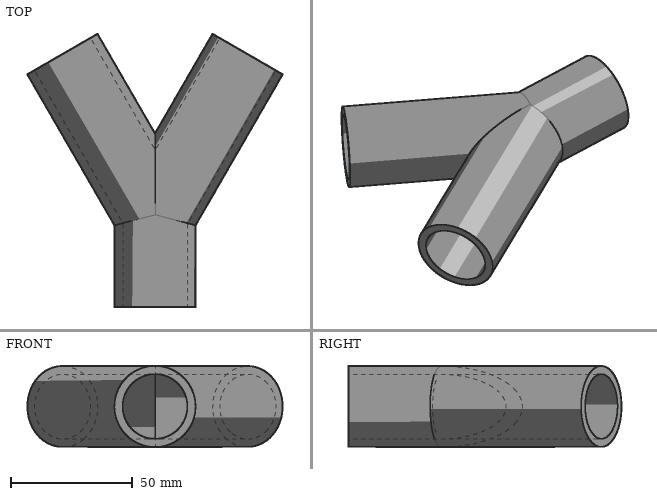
import cadquery as cq
import math

outer_diameter = 33.4
inner_diameter = 26.64
stem_length = 38.1
branch_length = 76.2
branch_angle = 30.0


def direction_from_y(angle):
    """Unit vector in the XY plane, turned from +Y toward +X by angle degrees."""
    return cq.Vector(math.sin(math.radians(angle)), math.cos(math.radians(angle)), 0)


def leg(diameter, length, direction):
    """Solid cylinder that starts at the junction and follows one pipe axis."""
    start = cq.Plane(origin=(0, 0, 0), xDir=(0, 0, 1), normal=direction)
    return cq.Workplane(start).circle(diameter / 2).extrude(length)


def wye(diameter):
    """Three joined cylinders of one diameter, meeting in mitred seams."""
    body = leg(diameter, stem_length, direction_from_y(180))
    for angle in (-branch_angle, branch_angle):
        body = body.union(leg(diameter, branch_length, direction_from_y(angle)))
    return body


result = wye(outer_diameter).cut(wye(inner_diameter))